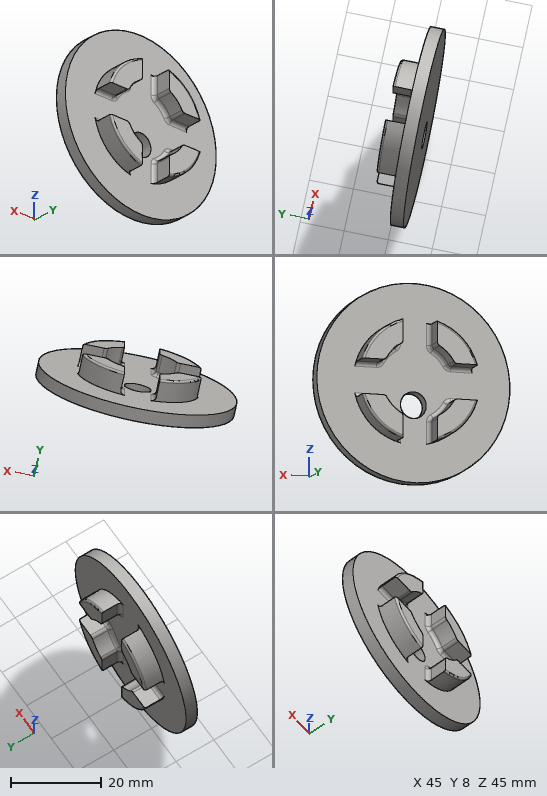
import cadquery as cq

disc_diameter = 45.0
disc_thickness = 3.0

boss_height = 5.0
boss_radius = 14.0
bore_radius = 9.0
channel_width = 8.0
root_fillet = 1.0
rim_fillet = 0.5
corner_fillet = 1.0

hole_diameter = 6.0
hole_drop = 5.0

total_depth = disc_thickness + boss_height
front_face = -total_depth / 2
rear_face = front_face + disc_thickness


def cylinder(diameter, start_y, length, center_z=0):
    """Cylinder along +Y starting at start_y, with its axis at x = 0."""
    base = cq.Workplane("XZ", origin=(0, start_y, center_z))
    return base.circle(diameter / 2).extrude(-length)


def inner_cutter():
    """Bore joined with a cross channel, rounded where they meet and along the floor."""
    slot = cq.Workplane("XY").box(channel_width, boss_height, disc_diameter)
    slot = slot.translate((0, rear_face + boss_height / 2, 0))
    cutter = slot.union(slot.rotate((0, 0, 0), (0, 1, 0), 90))
    cutter = cutter.union(cylinder(2 * bore_radius, rear_face, boss_height))
    bore_corners = cq.selectors.BoxSelector(
        (-boss_radius, front_face, -boss_radius),
        (boss_radius, -front_face, boss_radius),
    )
    cutter = cutter.edges("|Y").edges(bore_corners).fillet(corner_fillet)
    return cutter.faces("<Y").edges().fillet(root_fillet)


disc = cylinder(disc_diameter, front_face, disc_thickness)
boss = cylinder(2 * boss_radius, rear_face, boss_height).faces(">Y").edges().fillet(rim_fillet)
hole = cylinder(hole_diameter, front_face, total_depth, -hole_drop)

result = disc.union(boss.cut(inner_cutter())).cut(hole)